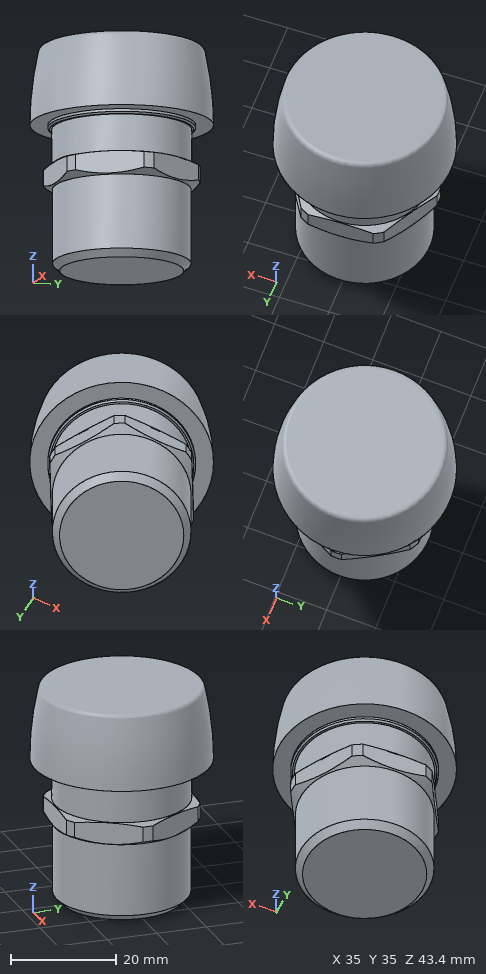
import cadquery as cq
import math

hex_bottom = 15.85
hex_top = 20.4
collar_bottom = 27.5
cap_bottom = 28.4
total_height = 43.4

spigot_radius = 13.2
neck_radius = 13.32
collar_radius = 14.05
cap_radius = 17.5
cap_top_radius = 15.7

spigot_chamfer = 1.4
collar_chamfer = 0.35
cap_fillet = 1.0

hex_across_flats = 27.0
hex_corner_radius = 15.0
hex_lower_angle = 30.0
hex_upper_angle = 15.0


def cylinder(radius, bottom, top):
    return cq.Workplane("XY").workplane(offset=bottom).circle(radius).extrude(top - bottom)


def make_cap():
    """Domed cap whose side arc starts vertical at the lower rim."""
    height = total_height - cap_bottom
    inset = cap_radius - cap_top_radius
    side_radius = (height**2 + inset**2) / (2 * inset)
    half_height = height / 2
    mid_radius = cap_radius - side_radius + math.sqrt(side_radius**2 - half_height**2)
    profile = (
        cq.Workplane("XZ")
        .moveTo(0, cap_bottom)
        .lineTo(cap_radius, cap_bottom)
        .threePointArc((mid_radius, cap_bottom + half_height), (cap_top_radius, total_height))
        .lineTo(0, total_height)
        .close()
    )
    cap = profile.revolve(360, (0, 0, 0), (0, 1, 0))
    return cap.faces(">Z").edges().fillet(cap_fillet)


def make_hexagon():
    """Hexagon with corners along X, trimmed round and conically chamfered."""
    circumscribed_diameter = hex_across_flats / math.cos(math.radians(30))
    prism = (
        cq.Workplane("XY")
        .workplane(offset=hex_bottom)
        .polygon(6, circumscribed_diameter)
        .extrude(hex_top - hex_bottom)
    )
    lower_rise = (hex_corner_radius - spigot_radius) * math.tan(math.radians(hex_lower_angle))
    upper_drop = (hex_corner_radius - neck_radius) * math.tan(math.radians(hex_upper_angle))
    turned_blank = (
        cq.Workplane("XZ")
        .moveTo(0, hex_bottom)
        .lineTo(spigot_radius, hex_bottom)
        .lineTo(hex_corner_radius, hex_bottom + lower_rise)
        .lineTo(hex_corner_radius, hex_top - upper_drop)
        .lineTo(neck_radius, hex_top)
        .lineTo(0, hex_top)
        .close()
        .revolve(360, (0, 0, 0), (0, 1, 0))
    )
    return prism.intersect(turned_blank)


spigot = cylinder(spigot_radius, 0, hex_bottom).faces("<Z").edges().chamfer(spigot_chamfer)
neck = cylinder(neck_radius, hex_top, collar_bottom)
collar = cylinder(collar_radius, collar_bottom, cap_bottom).faces("<Z").edges().chamfer(collar_chamfer)

result = spigot.union(make_hexagon()).union(neck).union(collar).union(make_cap())